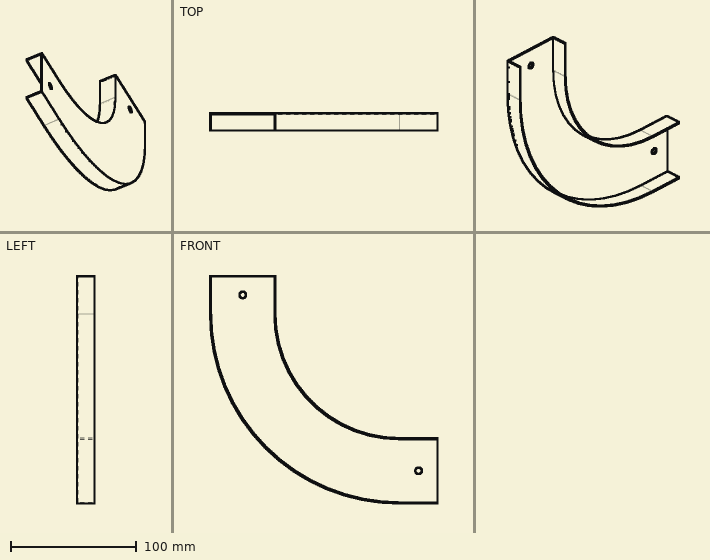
import cadquery as cq

size = 181.0
depth = 14.0
channel_width = 52.1
wall = 1.0
straight = 30.4

hole_diameter = 5.0
hole_end_distance = 15.0

outer_radius = size - straight
bend_center = size / 2 - straight


def band(inset, y_front, y_back):
    """Quarter-bend strip with straight ends, narrowed by inset on both edges."""
    low = -size / 2 + inset
    high = -size / 2 + channel_width - inset
    end = size / 2
    diagonal = 0.5 ** 0.5
    outer_mid = bend_center - (outer_radius - inset) * diagonal
    inner_mid = bend_center - (outer_radius - channel_width + inset) * diagonal
    return (
        cq.Workplane("XZ", origin=(0, y_back, 0))
        .moveTo(low, end)
        .lineTo(low, bend_center)
        .threePointArc((outer_mid, outer_mid), (bend_center, low))
        .lineTo(end, low)
        .lineTo(end, high)
        .lineTo(bend_center, high)
        .threePointArc((inner_mid, inner_mid), (high, bend_center))
        .lineTo(high, end)
        .close()
        .extrude(y_back - y_front)
    )


channel = band(0, -depth / 2, depth / 2)
channel = channel.cut(band(wall, -depth / 2, depth / 2 - wall))

hole_across = -size / 2 + channel_width / 2
hole_along = size / 2 - hole_end_distance
holes = (
    cq.Workplane("XZ", origin=(0, depth / 2, 0))
    .pushPoints([(hole_across, hole_along), (hole_along, hole_across)])
    .circle(hole_diameter / 2)
    .extrude(depth)
)

result = channel.cut(holes)